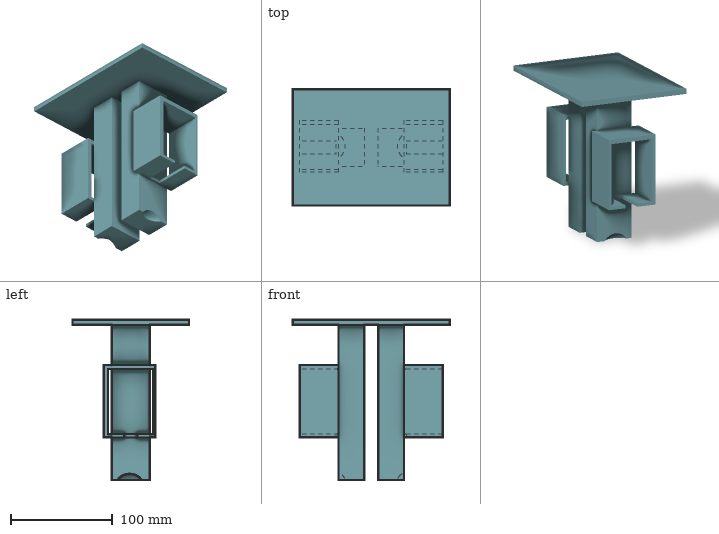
import cadquery as cq

PLATE_LENGTH = 154.09
PLATE_WIDTH = 114.3
PLATE_THICKNESS = 5.08

POST_LENGTH = 152.4
POST_THICKNESS = 25.4
POST_WIDTH = 37.5
POST_GAP = 13.7
POST_OUTER_X = POST_GAP / 2 + POST_THICKNESS

CHANNEL_REACH = 38.1
CHANNEL_WIDTH = 50.8
CHANNEL_HEIGHT = 71.12
CHANNEL_CENTRE_Y = 1.2
CHANNEL_DROP = 39.2
BACK_WALL = 4.3
FRONT_WALL = 2.6
ROOF_THICKNESS = 4.3
FLOOR_THICKNESS = 3.1
SLOT_WIDTH = 12.9
SLOT_END_WEB = 2.54

SCOOP_DEPTH = 6.4
SCOOP_HALF_WIDTH = 11.9
SCOOP_CENTRE_Y = 1.2

CHANNEL_TOP_Z = -CHANNEL_DROP
CHANNEL_BOTTOM_Z = CHANNEL_TOP_Z - CHANNEL_HEIGHT
CHANNEL_BACK_Y = CHANNEL_CENTRE_Y + CHANNEL_WIDTH / 2
CHANNEL_FRONT_Y = CHANNEL_CENTRE_Y - CHANNEL_WIDTH / 2


def box_between(low, high):
    """Box spanning two opposite corners."""
    size = [b - a for a, b in zip(low, high)]
    return cq.Workplane("XY").box(*size, centered=False).translate(low)


def make_plate():
    return cq.Workplane("XY").box(PLATE_LENGTH, PLATE_WIDTH, PLATE_THICKNESS, centered=(True, True, False))


def make_scoop_cutter():
    """Spindle-shaped solid with its axis along Y on the post's lower outer edge."""
    profile = (
        cq.Workplane("XY")
        .moveTo(0, -SCOOP_HALF_WIDTH)
        .threePointArc((SCOOP_DEPTH, 0), (0, SCOOP_HALF_WIDTH))
        .close()
    )
    spindle = profile.revolve(360, (0, 0, 0), (0, 1, 0))
    return spindle.translate((-POST_OUTER_X, SCOOP_CENTRE_Y, -POST_LENGTH))


def make_post():
    post = box_between(
        (-POST_OUTER_X, -POST_WIDTH / 2, -POST_LENGTH),
        (-POST_GAP / 2, POST_WIDTH / 2, 0),
    )
    return post.cut(make_scoop_cutter())


def make_channel():
    """Rectangular tube along X, its floor slotted from the open end to a web at the post."""
    outer_x = -POST_OUTER_X - CHANNEL_REACH
    tube = box_between(
        (outer_x, CHANNEL_FRONT_Y, CHANNEL_BOTTOM_Z),
        (-POST_OUTER_X, CHANNEL_BACK_Y, CHANNEL_TOP_Z),
    )
    floor_top_z = CHANNEL_BOTTOM_Z + FLOOR_THICKNESS
    bore = box_between(
        (outer_x, CHANNEL_FRONT_Y + FRONT_WALL, floor_top_z),
        (-POST_OUTER_X, CHANNEL_BACK_Y - BACK_WALL, CHANNEL_TOP_Z - ROOF_THICKNESS),
    )
    slot = box_between(
        (outer_x, -SLOT_WIDTH / 2, CHANNEL_BOTTOM_Z),
        (-POST_OUTER_X - SLOT_END_WEB, SLOT_WIDTH / 2, floor_top_z),
    )
    return tube.cut(bore).cut(slot)


left_leg = make_post().union(make_channel())
right_leg = left_leg.mirror("YZ")
result = make_plate().union(left_leg).union(right_leg)